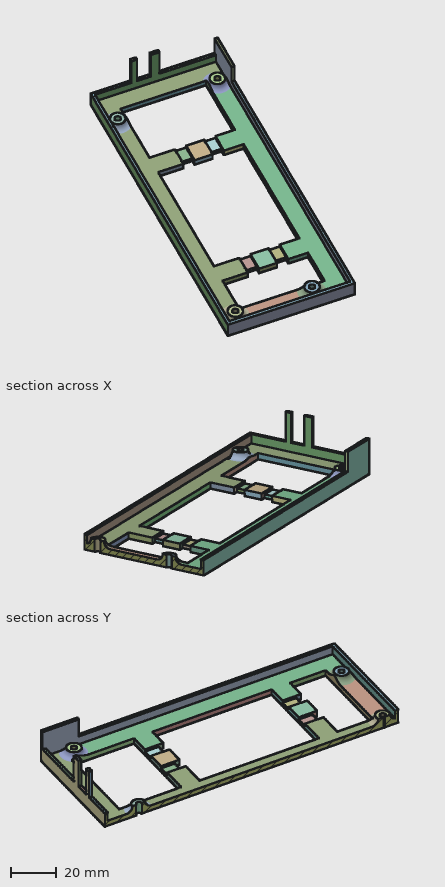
import cadquery as cq
import math

length = 148.6
width = 60.6
rim_height = 7.3
floor_thickness = 3.0
wall = 1.5
right_wall = 1.8

border = 10.0
window_right = 138.4
window_back = width - border
bar_width = 9.4
bar_starts = (41.3, 111.0)

notch_width = 5.4
notch_starts = (22.0, 36.0)
notch_step_length = 7.0
notch_step_height = 1.8

tab_length = 18.5
tab_top = 16.6
post_top = 21.3
post_spans = ((18.9, 21.5), (28.2, 32.3))

boss_centers = ((13.2, 54.7), (17.2, 5.4), (142.0, 43.1), (141.5, 6.7))
boss_radius = 3.4
boss_height = 3.1
foot_radius = 3.0
boss_hole_diameter = 2.7
foot_clearance = 0.7


def block(x_start, x_end, y_start, y_end, z_start, z_end):
    """Box between two opposite corners."""
    size = (x_end - x_start, y_end - y_start, z_end - z_start)
    return cq.Workplane("XY").box(*size, centered=False).translate((x_start, y_start, z_start))


def cylinder(x, y, radius, height):
    """Upright cylinder standing on the underside of the tray."""
    return cq.Workplane("XY").center(x, y).circle(radius).extrude(height)


def make_tray():
    inside = block(wall, length - right_wall, wall, width - wall, floor_thickness, rim_height)
    return block(0, length, 0, width, 0, rim_height).cut(inside)


def make_windows():
    """Opening through the floor, less the two notched cross bars."""
    opening = block(border, window_right, border, window_back, 0, rim_height)
    for bar_start in bar_starts:
        bar_end = bar_start + bar_width
        step_end = bar_start + notch_step_length
        bar = block(bar_start, bar_end, border, window_back, 0, floor_thickness)
        for start in notch_starts:
            end = start + notch_width
            bar = bar.cut(block(bar_start, bar_end, start, end, notch_step_height, floor_thickness))
            bar = bar.cut(block(step_end, bar_end, start, end, 0, floor_thickness))
        above_bar = block(bar_start, bar_end, border, window_back, floor_thickness, rim_height)
        opening = opening.cut(bar).cut(above_bar)
    return opening


def make_boss():
    """Revolved boss whose side flares into the floor with a concave foot."""
    foot_edge = boss_radius + foot_radius
    arc_offset = foot_radius * (1 - math.cos(math.pi / 4))
    return (
        cq.Workplane("XZ")
        .lineTo(foot_edge, 0)
        .lineTo(foot_edge, floor_thickness)
        .threePointArc(
            (boss_radius + arc_offset, floor_thickness + arc_offset),
            (boss_radius, floor_thickness + foot_radius),
        )
        .lineTo(boss_radius, floor_thickness + boss_height)
        .lineTo(0, floor_thickness + boss_height)
        .close()
        .revolve(360, (0, 0, 0), (0, 1, 0))
    )


def make_uprights():
    """Tab on the back rim and posts on the left rim."""
    uprights = block(0, tab_length, width - wall, width, 0, tab_top)
    for post_start, post_end in post_spans:
        uprights = uprights.union(block(0, wall, post_start, post_end, 0, post_top))
    return uprights


def make_trimmed_boss(x, y):
    """Boss at (x, y), its foot kept inside the tray; a foot crowding the front wall is cut flat."""
    foot_front = 0
    if y - boss_radius - wall < foot_clearance:
        foot_front = wall + foot_clearance
    foot_limits = block(0, length, foot_front, width, 0, rim_height)
    foot = make_boss().translate((x, y, 0)).intersect(foot_limits)
    return foot.union(cylinder(x, y, boss_radius, floor_thickness + boss_height))


result = make_tray().union(make_uprights())
for x, y in boss_centers:
    result = result.union(make_trimmed_boss(x, y))
result = result.cut(make_windows())
for x, y in boss_centers:
    result = result.cut(cylinder(x, y, boss_hole_diameter / 2, rim_height))